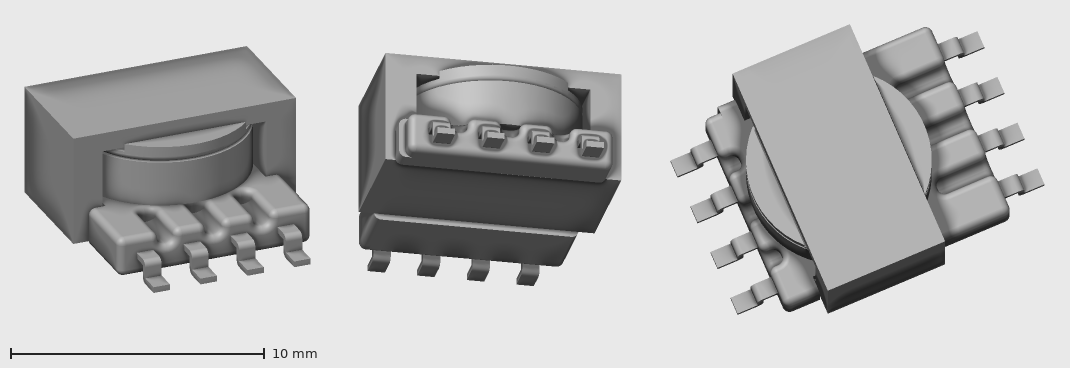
import cadquery as cq


core_length_x = 5.03
core_width_y = 9.5
core_top = 4.83
core_bottom = 0.21
core_plate = 0.79
window_width = 7.0
window_bottom = core_bottom + core_plate
window_top = core_top - core_plate

base_length = 9.7
base_width = 8.24
base_height = 1.66
base_center_x = 0.8
base_edge_radius = 0.29
bridge_width = 6.82
core_clearance = 0.07
channel_length = core_length_x + 2 * core_clearance

tab_length = 0.74
tab_projection = 0.26

groove_pitch = 2.055
groove_width = 0.68
middle_groove_width = 0.72
groove_depth = 0.62
groove_corner_radius = 0.3
groove_inner_end = 3.34

drum_radius = 3.66
winding_top = 3.54
flange_top = 4.22
flange_shoulder = 3.89
flange_edge_radius = 0.25

lead_span = 13.16
lead_width = 0.7
lead_thickness = 0.25
lead_pitch = 2.0
leads_per_side = 4
lead_shoulder_z = 0.98
lead_foot_length = 1.11
lead_bend_radius = 0.25


def block(x_min, x_max, width, z_min, z_max):
    """Box centred on Y = 0."""
    return (
        cq.Workplane("XY", origin=((x_min + x_max) / 2, 0, z_min))
        .rect(x_max - x_min, width)
        .extrude(z_max - z_min)
    )


def make_core():
    half_length = core_length_x / 2
    ring = block(-half_length, half_length, core_width_y, core_bottom, core_top)
    window = block(-half_length, half_length, window_width, window_bottom, window_top)
    return ring.cut(window)


def make_groove(side, y, width, outer_end):
    """Round-bottomed groove from an upright inner end wall with rounded corners out past the end face."""
    inner_x = side * groove_inner_end
    blank = block(min(inner_x, outer_end), max(inner_x, outer_end), width,
                  base_height - groove_depth, base_height + groove_depth)
    trough = blank.edges("|X and <Z").fillet(groove_corner_radius)
    plan = blank.edges("|Z").fillet(groove_corner_radius)
    return trough.intersect(plan).translate((0, y, 0))


def make_wing(side):
    """End block of the base on one side of the core, with three wire grooves and rounded outer edges."""
    inner_x = side * channel_length / 2
    outer_x = base_center_x + side * base_length / 2
    wing = block(min(inner_x, outer_x), max(inner_x, outer_x), base_width, 0, base_height)
    for row in (-1, 0, 1):
        width = middle_groove_width if row == 0 else groove_width
        groove_outer_end = outer_x + side * 2 * groove_corner_radius
        wing = wing.cut(make_groove(side, row * groove_pitch, width, groove_outer_end))
    inner_face_edges = wing.faces("<X" if side > 0 else ">X").edges()
    outer_face = wing.faces(">X" if side > 0 else "<X")
    rounded = outer_face.edges().add(wing.faces(">Z").edges()).add(wing.faces("<Z").edges())
    inner_edges = inner_face_edges.vals()
    rounded_edges = [
        edge for edge in rounded.vals() if not any(edge.isSame(inner) for inner in inner_edges)
    ]
    return wing.newObject(rounded_edges).fillet(base_edge_radius)


def make_tab():
    y_min = bridge_width / 2
    y_max = base_width / 2 + tab_projection
    x_max = -channel_length / 2
    return (
        block(x_max - tab_length, x_max, y_max - y_min, 0, base_height)
        .translate((0, (y_min + y_max) / 2, 0))
        .edges("|X and >Y")
        .fillet(base_edge_radius)
    )


def make_drum():
    """Winding with an upper flange, trimmed to the core window and stepped down under the core."""
    winding = (
        cq.Workplane("XY", origin=(0, 0, base_height))
        .circle(drum_radius)
        .extrude(winding_top - base_height)
    )
    flange = (
        cq.Workplane("XY", origin=(0, 0, winding_top))
        .circle(drum_radius)
        .extrude(flange_top - winding_top)
        .faces("<Z")
        .edges()
        .fillet(flange_edge_radius)
    )
    half_channel = channel_length / 2
    core_relief = block(-half_channel, half_channel, core_width_y, flange_shoulder, core_top)
    window_space = block(-drum_radius, drum_radius, window_width, base_height, core_top)
    return winding.union(flange).cut(core_relief).intersect(window_space)


def make_lead(side, y):
    """Lead bent from the base end face down to its foot; it starts a little inside the base."""
    tip = base_center_x + side * lead_span / 2
    heel = tip - side * lead_foot_length
    leg_outer = heel + side * lead_thickness
    root = base_center_x + side * (base_length / 2 - base_edge_radius)
    lead = (
        cq.Workplane("XZ", origin=(0, y + lead_width / 2, 0))
        .moveTo(tip, 0)
        .lineTo(heel, 0)
        .lineTo(heel, lead_shoulder_z - lead_thickness)
        .lineTo(root, lead_shoulder_z - lead_thickness)
        .lineTo(root, lead_shoulder_z)
        .lineTo(leg_outer, lead_shoulder_z)
        .lineTo(leg_outer, lead_thickness)
        .lineTo(tip, lead_thickness)
        .close()
        .extrude(lead_width)
    )
    heel_edge = cq.selectors.NearestToPointSelector((heel, y, 0))
    shoulder_edge = cq.selectors.NearestToPointSelector((leg_outer, y, lead_shoulder_z))
    return lead.edges(heel_edge).fillet(lead_bend_radius).edges(shoulder_edge).fillet(lead_bend_radius)


def make_bobbin():
    half_channel = channel_length / 2
    bobbin = block(-half_channel, half_channel, bridge_width, window_bottom, base_height)
    for side in (-1, 1):
        bobbin = bobbin.union(make_wing(side))
        for index in range(leads_per_side):
            y = (index - (leads_per_side - 1) / 2) * lead_pitch
            bobbin = bobbin.union(make_lead(side, y))
    return bobbin.union(make_tab()).union(make_drum())


core = make_core()
bobbin = make_bobbin()

result = cq.Compound.makeCompound([core.val(), bobbin.val()])